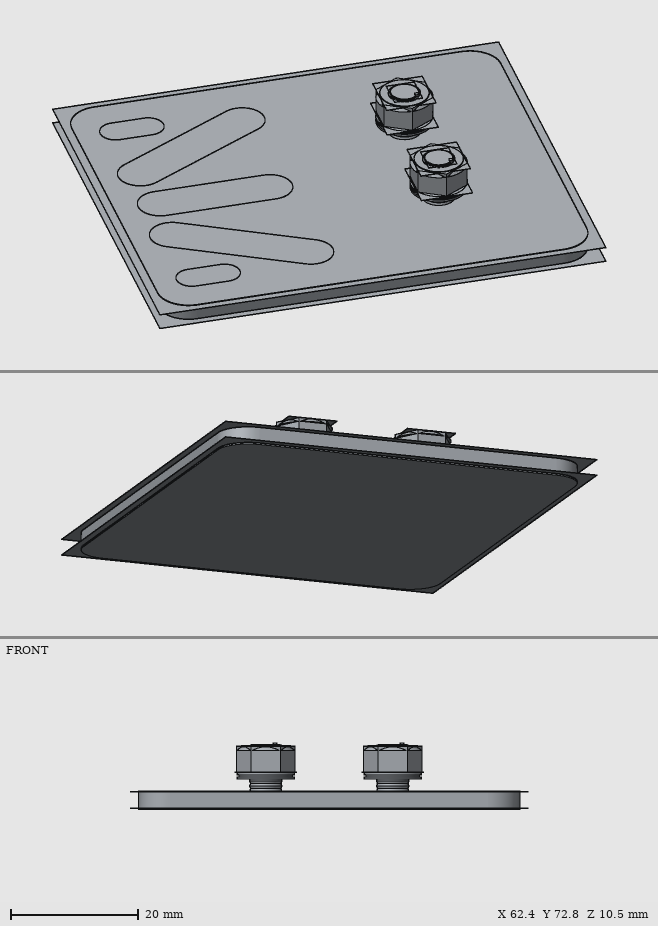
import cadquery as cq
import math

PLATE_X = 60.0
PLATE_Y = 70.0
PLATE_Z = 2.9
CORNER_R = 5.0
SKIN_X = 62.4
SKIN_Y = 72.8
SKIN_T = 0.1
LOWER_SKIN_Z = 0.2
PANEL_RISE = 0.1

SLOT_DEPTH = 0.1
LONG_SLOT_W = 7.2
CENTRE_SLOT_L = 25.1
CENTRE_SLOT_Y = -18.65
SPLAY_SLOT_L = 29.55
SPLAY_SLOT_X = 14.6
SPLAY_SLOT_Y = -18.4
SPLAY_ANGLE = 28.6
SHORT_SLOT_W = 5.0
SHORT_SLOT_L = 10.35
SHORT_SLOT_X = 22.2
SHORT_SLOT_Y = -26.0

TAB_T = 0.1
TAB_DROP = 0.1

STUD_X = 10.0
STUD_Y = 15.1
STUD_R = 2.55
STUD_TOP_Z = 10.3
STUD_CHAMFER = 0.4
CAP_X = 4.9
CAP_Y = 4.6
THREAD_PITCH = 0.8
THREAD_DEPTH = 0.15
TIP_SIZE = 0.6
TIP_X = 1.45
TIP_Y = 1.6
TOTAL_Z = 10.5

HEX_FLATS = 8
HEX_SIDES = 6
HEX_CORNERS = HEX_FLATS / math.cos(math.pi / HEX_SIDES)
FLANGE_Z = 4.8
FLANGE_T = 1.0
FLANGE_R = 4.5
RIM_GROOVE_T = 0.3
RIM_GROOVE_DEPTH = 0.3
NUT_TOP_Z = 10.05
CONE_H = 0.7
CONE_TOP_R = 3.85
CONE_BASE_R = 4.5
SEAT_TAB_X = 9.6
SEAT_TAB_Y = 8.4
TOP_TAB = 8.1


def slab(size_x, size_y, bottom, height):
    """Rectangular block centred on the Z axis."""
    return cq.Workplane("XY", origin=(0, 0, bottom)).rect(size_x, size_y).extrude(height)


def disc(radius, bottom, height):
    """Cylinder on the Z axis."""
    return cq.Workplane("XY", origin=(0, 0, bottom)).circle(radius).extrude(height)


def slot_cutter(x, y, length, width, lean):
    """Round-ended slot along Y, turned by `lean` degrees about Z."""
    floor = cq.Workplane("XY", origin=(x, y, PLATE_Z - SLOT_DEPTH))
    return floor.slot2D(length, width, 90 + lean).extrude(SLOT_DEPTH)


def make_plate():
    plate = slab(PLATE_X, PLATE_Y, 0, PLATE_Z).edges("|Z").fillet(CORNER_R)
    for skin_z in (LOWER_SKIN_Z, PLATE_Z - PANEL_RISE - SKIN_T):
        plate = plate.union(slab(SKIN_X, SKIN_Y, skin_z, SKIN_T))

    plate = plate.cut(slot_cutter(0, CENTRE_SLOT_Y, CENTRE_SLOT_L, LONG_SLOT_W, 0))
    for side in (-1, 1):
        lean = -side * SPLAY_ANGLE
        splay = slot_cutter(side * SPLAY_SLOT_X, SPLAY_SLOT_Y, SPLAY_SLOT_L, LONG_SLOT_W, lean)
        short = slot_cutter(side * SHORT_SLOT_X, SHORT_SLOT_Y, SHORT_SLOT_L, SHORT_SLOT_W, 0)
        plate = plate.cut(splay).cut(short)
    return plate


def thread_groove(z):
    """Ring with a V section that opens outwards, centred at height z."""
    half = THREAD_PITCH / 2
    section = cq.Workplane("XZ").polyline([
        (STUD_R, z - half),
        (STUD_R - THREAD_DEPTH, z),
        (STUD_R, z + half),
    ])
    return section.close().revolve(360, (0, 0, 0), (0, 1, 0))


def make_stud(x):
    stud = disc(STUD_R, PLATE_Z, STUD_TOP_Z - PLATE_Z).faces(">Z").chamfer(STUD_CHAMFER)
    groove_count = int((FLANGE_Z - PLATE_Z) / THREAD_PITCH)
    for i in range(groove_count):
        stud = stud.cut(thread_groove(PLATE_Z + (i + 0.5) * THREAD_PITCH))
    cap_top = STUD_TOP_Z - TAB_DROP
    stud = stud.union(slab(CAP_X, CAP_Y, cap_top - TAB_T, TAB_T))
    tip = slab(TIP_SIZE, TIP_SIZE, cap_top, TOTAL_Z - cap_top).translate((TIP_X, TIP_Y, 0))
    return stud.union(tip).translate((x, STUD_Y, 0))


def make_nut(x):
    hex_z = FLANGE_Z + FLANGE_T
    groove_z = FLANGE_Z + (FLANGE_T - RIM_GROOVE_T) / 2
    cone_z = NUT_TOP_Z - CONE_H
    rim_groove = disc(FLANGE_R, groove_z, RIM_GROOVE_T)
    rim_groove = rim_groove.cut(disc(FLANGE_R - RIM_GROOVE_DEPTH, groove_z, RIM_GROOVE_T))
    nut = disc(FLANGE_R, FLANGE_Z, FLANGE_T).cut(rim_groove)
    hex_h = NUT_TOP_Z - TAB_DROP - hex_z
    hexagon = cq.Workplane("XY", origin=(0, 0, hex_z)).polygon(HEX_SIDES, HEX_CORNERS).extrude(hex_h)
    nut = nut.union(hexagon)
    crown = cq.Workplane("XY", origin=(0, 0, cone_z)).circle(CONE_BASE_R)
    crown = crown.workplane(offset=CONE_H).circle(CONE_TOP_R).loft()
    nut = nut.union(crown)
    nut = nut.union(slab(SEAT_TAB_X, SEAT_TAB_Y, hex_z, TAB_T))
    nut = nut.union(slab(TOP_TAB, TOP_TAB, NUT_TOP_Z - TAB_DROP - TAB_T, TAB_T))
    bore = disc(STUD_R, FLANGE_Z, NUT_TOP_Z - FLANGE_Z)
    return nut.cut(bore).translate((x, STUD_Y, 0))


plate = make_plate()
studs = [make_stud(x) for x in (-STUD_X, STUD_X)]
nuts = [make_nut(x) for x in (-STUD_X, STUD_X)]

result = cq.Compound.makeCompound([
    plate.solids().val(),
    *[stud.solids().val() for stud in studs],
    *[nut.solids().val() for nut in nuts],
])